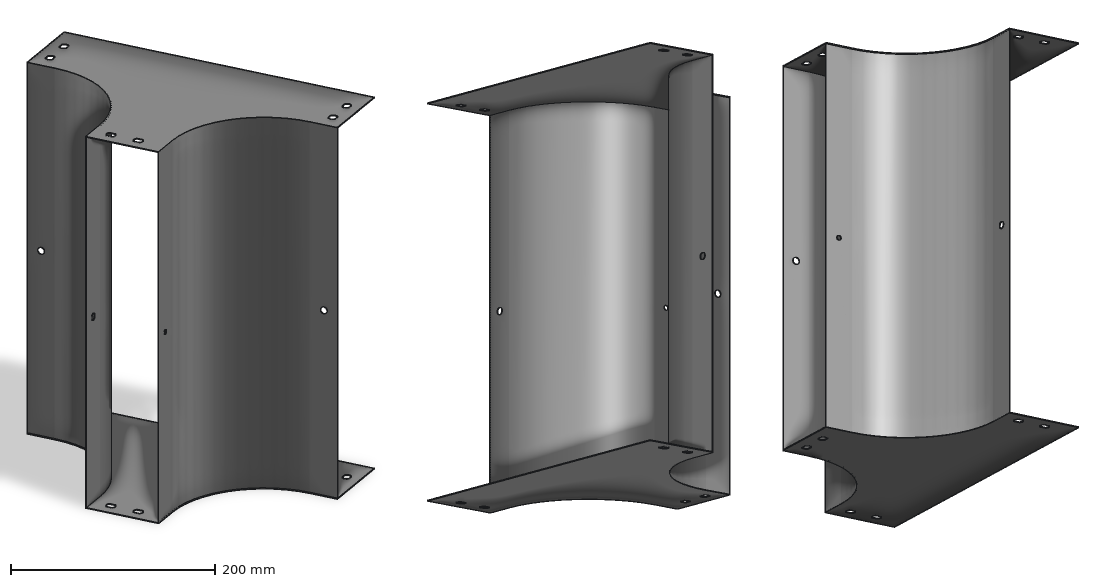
import cadquery as cq

length = 340.0
depth = 210.0
height = 400.0
thickness = 1.0
branch_width = 80.0
flat_length = 30.0

half_length = length / 2
half_branch = branch_width / 2
bend_radius = depth - branch_width - flat_length

end_setback = flat_length / 2
slot_length = 10.0
slot_width = 7.5
slot_pitch = 30.0
arm_slot_inset = 30.0
stem_slot_inset = 20.0
wall_hole_diameter = 7.0
far_hole_diameter = 5.0


def tee_outline(inset):
    """T outline with its inner corners rounded, its walled sides moved inward by inset."""
    radius = bend_radius + inset
    stem_x = half_branch - inset
    arm_y = -branch_width + inset
    bend_x = half_length - flat_length
    bend_y = -depth + flat_length
    return (
        cq.Workplane("XY")
        .moveTo(-half_length, 0)
        .lineTo(half_length, 0)
        .lineTo(half_length, arm_y)
        .lineTo(bend_x, arm_y)
        .radiusArc((stem_x, bend_y), -radius)
        .lineTo(stem_x, -depth)
        .lineTo(-stem_x, -depth)
        .lineTo(-stem_x, bend_y)
        .radiusArc((-bend_x, arm_y), -radius)
        .lineTo(-half_length, arm_y)
        .close()
    )


def hollow_tee():
    """Solid tee emptied between its plates, open at the rear and at all three ends."""
    body = tee_outline(0).extrude(height / 2, both=True)
    cavity = tee_outline(thickness).extrude(height / 2 - thickness, both=True)
    return body.cut(cavity)


def plate_slots(points, size_x, size_y):
    """Flat-sided round holes through both plates: a circle trimmed to the given sizes."""
    rounds = (
        cq.Workplane("XY")
        .pushPoints(points)
        .circle(slot_length / 2)
        .extrude(height, both=True)
    )
    flats = (
        cq.Workplane("XY")
        .pushPoints(points)
        .rect(size_x, size_y)
        .extrude(height, both=True)
    )
    return rounds.intersect(flats)


def wall_hole(plane, place, diameter, reach):
    """Round hole at mid-height, drilled from the plane along its normal."""
    return (
        cq.Workplane(plane)
        .center(place, 0)
        .circle(diameter / 2)
        .extrude(reach)
    )


arm_hole_x = half_length - end_setback
stem_hole_y = -depth + end_setback

arm_slots = [
    (side * arm_hole_x, -arm_slot_inset - row * slot_pitch)
    for side in (-1, 1)
    for row in range(2)
]
stem_slots = [
    (-half_branch + stem_slot_inset + column * slot_pitch, stem_hole_y)
    for column in range(2)
]

result = (
    hollow_tee()
    .cut(plate_slots(arm_slots, slot_width, slot_length))
    .cut(plate_slots(stem_slots, slot_length, slot_width))
    .cut(wall_hole("XZ", -arm_hole_x, wall_hole_diameter, depth))
    .cut(wall_hole("XZ", arm_hole_x, wall_hole_diameter, depth))
    .cut(wall_hole("YZ", stem_hole_y, wall_hole_diameter, -half_length))
    .cut(wall_hole("YZ", stem_hole_y, far_hole_diameter, half_length))
)